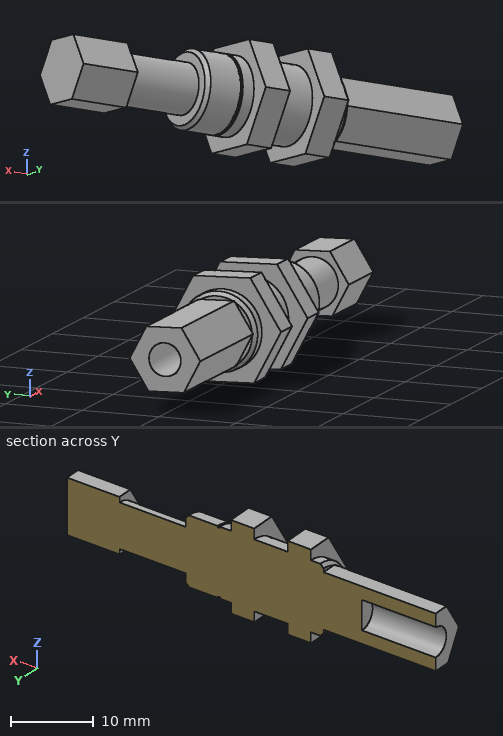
import cadquery as cq
import math

body_start = 17.0
nut_starts = (18.9, 27.55)
groove_start = 32.75
body_end = 38.0
end_hex_start = 48.0
total_length = 56.0

body_diameter = 10.0
body_chamfer = 0.5
rod_diameter = 6.5
hex_flats = 8.0
nut_flats = 13.0
nut_thickness = 3.6
hex_tilt = -2.1

groove_width = 0.35
groove_depth = 0.15

hole_diameter = 4.15
hole_depth = 11.2


def cylinder(start, length, diameter):
    return cq.Workplane("YZ").workplane(offset=start).circle(diameter / 2).extrude(length)


def hexagon(start, length, flats):
    corner_diameter = flats / math.cos(math.radians(30))
    prism = cq.Workplane("YZ").workplane(offset=start).polygon(6, corner_diameter).extrude(length)
    return prism.rotate((0, 0, 0), (1, 0, 0), hex_tilt)


body = cylinder(body_start, body_end - body_start, body_diameter).faces("<X or >X").chamfer(body_chamfer)
groove_floor = cylinder(groove_start, groove_width, body_diameter - 2 * groove_depth)
groove = cylinder(groove_start, groove_width, body_diameter).cut(groove_floor)
result = body.cut(groove)

result = result.union(hexagon(0, body_start, hex_flats))
result = result.union(cylinder(body_end, end_hex_start - body_end, rod_diameter))
result = result.union(hexagon(end_hex_start, total_length - end_hex_start, hex_flats))

for nut_start in nut_starts:
    result = result.union(hexagon(nut_start, nut_thickness, nut_flats))

result = result.cut(cylinder(0, hole_depth, hole_diameter))